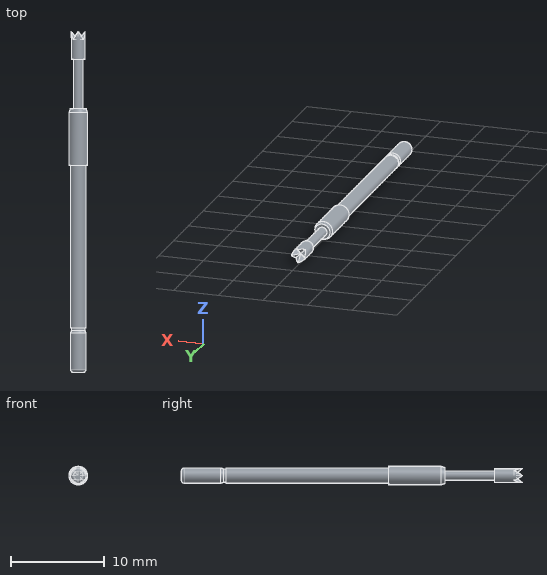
import cadquery as cq
import math

length = 36.3
groove_start = 4.2
groove_width = 0.55
groove_ramp = 0.3
collar_start = 22.07
barrel_end = 28.1
head_start = 33.32

barrel_diameter = 1.67
collar_diameter = 2.0
stem_diameter = 1.0
head_diameter = 1.5
groove_depth = 0.1
tail_fillet = 0.35
collar_chamfer_length = 0.45
collar_chamfer_depth = 0.15

crown_depth = 0.87
crown_groove_angles = (45, 135)

barrel_radius = barrel_diameter / 2
collar_radius = collar_diameter / 2
stem_radius = stem_diameter / 2
head_radius = head_diameter / 2
groove_end = groove_start + groove_width
groove_radius = barrel_radius - groove_depth


def turned_body():
    """Revolve the half profile (radius, station) about the probe axis."""
    fillet_middle = (
        barrel_radius - tail_fillet * (1 - math.sqrt(0.5)),
        tail_fillet * (1 - math.sqrt(0.5)),
    )
    return (
        cq.Workplane("XY")
        .moveTo(0, 0)
        .lineTo(barrel_radius - tail_fillet, 0)
        .threePointArc(fillet_middle, (barrel_radius, tail_fillet))
        .lineTo(barrel_radius, groove_start)
        .lineTo(groove_radius, groove_start + groove_ramp)
        .lineTo(groove_radius, groove_end)
        .lineTo(barrel_radius, groove_end)
        .lineTo(barrel_radius, collar_start)
        .lineTo(collar_radius, collar_start)
        .lineTo(collar_radius, barrel_end - collar_chamfer_length)
        .lineTo(collar_radius - collar_chamfer_depth, barrel_end)
        .lineTo(stem_radius, barrel_end)
        .lineTo(stem_radius, head_start)
        .lineTo(head_radius, head_start)
        .lineTo(head_radius, length)
        .lineTo(0, length)
        .close()
        .revolve(360, (0, 0, 0), (0, 1, 0))
    )


def crown_groove(angle):
    """V cutter through the axis whose flanks meet the rim at the crown points."""
    tip_offset = head_radius * math.sin(math.pi / 4)
    return (
        cq.Workplane("XY")
        .moveTo(0, length - crown_depth)
        .lineTo(2 * tip_offset, length + crown_depth)
        .lineTo(-2 * tip_offset, length + crown_depth)
        .close()
        .extrude(head_diameter, both=True)
        .rotate((0, 0, 0), (0, 1, 0), angle)
    )


result = turned_body()
for groove_angle in crown_groove_angles:
    result = result.cut(crown_groove(groove_angle))